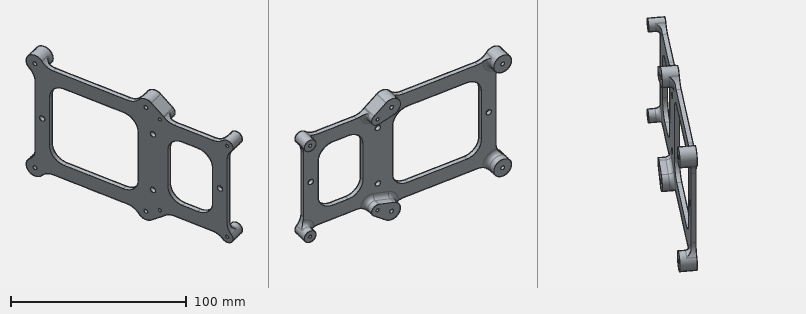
import cadquery as cq
import math

length = 140.0
height = 87.0
depth = 10.0
plate_thickness = 3.0

large_boss_radius = 12.0 / 2
small_boss_radius = 8.0 / 2
large_pitch_x = 75.0
small_pitch_x = 45.5
small_pitch_z = 65.5
large_hole_diameter = 2.5
small_hole_diameter = 2.0
outline_fillet = 10.0
root_fillet = 3.0

right_edge = length - large_boss_radius - small_boss_radius
small_x = right_edge - small_pitch_x
large_x = large_pitch_x
large_z = height / 2 - large_boss_radius
small_z = small_pitch_z / 2

rail_width = 10.0
wide_window_right = 69.7
narrow_window_left = 89.9
window_radius = 10.0

mount_hole_diameter = 3.5
mount_edge_distance = 4.9
web_hole_pitch = 40.0
web_hole_x = (large_x + small_x) / 2


def prism(sketch, thickness):
    """Extrude an XZ sketch from the front face towards the back (+Y)."""
    return sketch.extrude(-thickness)


def box(left, right, half_height, thickness):
    return prism(cq.Workplane("XZ").center((left + right) / 2, 0).rect(right - left, 2 * half_height), thickness)


def cylinders(points, diameter):
    return prism(cq.Workplane("XZ").pushPoints(points).circle(diameter / 2), depth)


def edge_blend(x, z, boss_radius, along_x, along_z, out_x, out_z):
    """Concave web between a standoff and the plate edge running away from it."""
    reach = math.sqrt((boss_radius + outline_fillet) ** 2 - outline_fillet**2)
    foot = (x + reach * along_x, z + reach * along_z)
    foot_x, foot_z = foot
    center = (foot_x + outline_fillet * out_x, foot_z + outline_fillet * out_z)
    triangle = prism(cq.Workplane("XZ").polyline([(x, z), foot, center]).close(), depth)
    return triangle.cut(cylinders([center], 2 * outline_fillet))


def boss_bridge(side):
    """Block between both outer tangents of neighbouring large and small standoffs."""
    run = small_x - large_x
    drop = large_z - small_z
    slope = math.atan2(drop, run)
    normal_swing = math.acos((large_boss_radius - small_boss_radius) / math.hypot(run, drop))
    outer = normal_swing - slope
    inner = -normal_swing - slope

    def tangent_point(x, z, radius, angle):
        return (x + radius * math.cos(angle), side * (z + radius * math.sin(angle)))

    points = [
        tangent_point(large_x, large_z, large_boss_radius, outer),
        tangent_point(small_x, small_z, small_boss_radius, outer),
        tangent_point(small_x, small_z, small_boss_radius, inner),
        tangent_point(large_x, large_z, large_boss_radius, inner),
    ]
    return prism(cq.Workplane("XZ").polyline(points).close(), depth)


def window(left, right, half_height):
    return box(left, right, half_height, plate_thickness).edges("|Y").fillet(window_radius)


large_points = [(x, side * large_z) for x in (0, large_x) for side in (-1, 1)]
small_points = [(x, side * small_z) for x in (small_x, right_edge) for side in (-1, 1)]

bosses = cylinders(large_points, 2 * large_boss_radius).union(cylinders(small_points, 2 * small_boss_radius))
for side in (-1, 1):
    bosses = bosses.union(boss_bridge(side))

envelope = box(0, large_x, large_z, depth).union(box(0, right_edge, small_z, depth)).union(bosses)
for side in (-1, 1):
    blends = [
        edge_blend(0, side * large_z, large_boss_radius, 1, 0, 0, side),
        edge_blend(0, side * large_z, large_boss_radius, 0, -side, -1, 0),
        edge_blend(large_x, side * large_z, large_boss_radius, -1, 0, 0, side),
        edge_blend(small_x, side * small_z, small_boss_radius, 1, 0, 0, side),
        edge_blend(right_edge, side * small_z, small_boss_radius, -1, 0, 0, side),
        edge_blend(right_edge, side * small_z, small_boss_radius, 0, -side, 1, 0),
    ]
    for blend in blends:
        envelope = envelope.union(blend)

blank_margin = 42.0
band_margin = blank_margin / 2
plate = box(-blank_margin, right_edge + blank_margin, large_z + blank_margin, plate_thickness).union(bosses)
root_band = cq.selectors.BoxSelector(
    (-band_margin, plate_thickness / 2, -large_z - band_margin),
    (right_edge + band_margin, plate_thickness * 1.5, large_z + band_margin),
)
plate = plate.edges(root_band).fillet(root_fillet)
body = plate.intersect(envelope)

body = body.cut(window(rail_width, wide_window_right, large_z - rail_width))
body = body.cut(window(narrow_window_left, right_edge - rail_width, small_z - rail_width))

mount_points = [
    (mount_edge_distance, 0),
    (right_edge - mount_edge_distance, 0),
    (web_hole_x, web_hole_pitch / 2),
    (web_hole_x, -web_hole_pitch / 2),
]
body = body.cut(cylinders(large_points, large_hole_diameter))
body = body.cut(cylinders(small_points, small_hole_diameter))
result = body.cut(cylinders(mount_points, mount_hole_diameter))